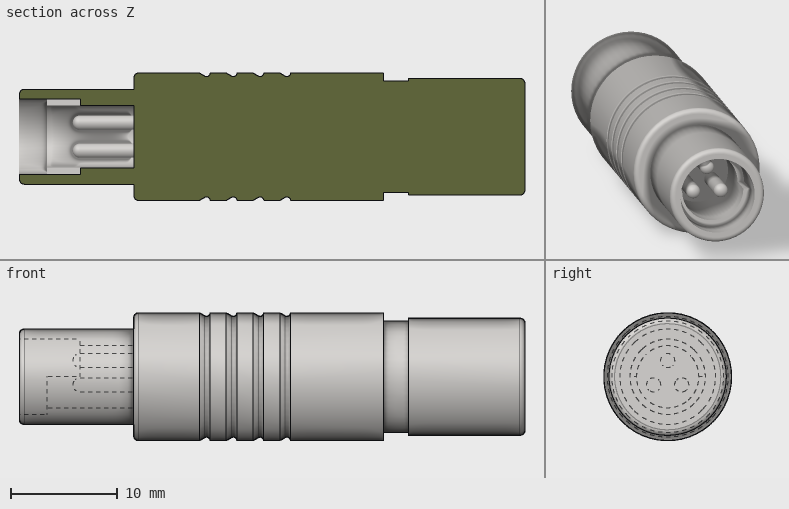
import cadquery as cq
import math

total_length = 47.5
body_diameter = 12.0
nose_diameter = 9.0
neck_diameter = 10.5
tail_diameter = 11.0
nose_length = 10.75
body_length = 23.45
neck_length = 2.35
nose_fillet = 0.48
body_fillet = 0.48
tail_fillet = 0.5

groove_count = 4
groove_pitch = 2.5
groove_width = 1.0
groove_depth = 0.35
first_groove_offset = 6.18

socket_diameter = 7.1
socket_depth = 5.7
key_start = 2.6
inner_bore_diameter = 5.85
floor_depth = nose_length

pin_count = 3
pin_diameter = 1.35
pin_circle_radius = 1.5
first_pin_angle = 90
pin_length = 5.7

body_end = nose_length + body_length
tail_start = body_end + neck_length


def cylinder(start, length, diameter):
    """Cylinder on the X axis, running toward +X from start."""
    return cq.Workplane("YZ").workplane(offset=start).circle(diameter / 2).extrude(length)


def half_cylinder(start, length, diameter):
    """Lower (-Z) half of a cylinder on the X axis."""
    lower_side = cq.Workplane("XY").box(
        total_length, diameter, diameter, centered=(False, True, False)
    ).translate((0, 0, -diameter))
    return cylinder(start, length, diameter).intersect(lower_side)


def grip_groove(start):
    """Ring whose section slopes in as a cone and runs tangent into an arc centred on the body surface."""
    body_radius = body_diameter / 2
    end = start + groove_width
    arc_centre = end - groove_depth
    cone_angle = math.asin(groove_depth / (arc_centre - start))
    tangent_point = (
        arc_centre - groove_depth * math.sin(cone_angle),
        body_radius - groove_depth * math.cos(cone_angle),
    )
    return (
        cq.Workplane("XY")
        .moveTo(start, body_radius)
        .lineTo(*tangent_point)
        .threePointArc((arc_centre, body_radius - groove_depth), (end, body_radius))
        .lineTo(end, body_diameter)
        .lineTo(start, body_diameter)
        .close()
        .revolve(360, (0, 0, 0), (1, 0, 0))
    )


def contact_pin(angle):
    """Round pin with a hemispherical tip pointing toward -X."""
    pin_radius = pin_diameter / 2
    tip_centre = floor_depth - pin_length + pin_radius
    shaft = cylinder(tip_centre, floor_depth - tip_centre, pin_diameter)
    tip = cq.Workplane("XY").sphere(pin_radius).translate((tip_centre, 0, 0))
    offset = (0, pin_circle_radius * math.cos(angle), pin_circle_radius * math.sin(angle))
    return shaft.union(tip).translate(offset)


nose = cylinder(0, nose_length, nose_diameter).faces("<X").edges().fillet(nose_fillet)
body = cylinder(nose_length, body_length, body_diameter).faces("<X").edges().fillet(body_fillet)
neck = cylinder(body_end, neck_length, neck_diameter)
tail = cylinder(tail_start, total_length - tail_start, tail_diameter).faces(">X").edges().fillet(tail_fillet)
result = nose.union(body).union(neck).union(tail)

for index in range(groove_count):
    result = result.cut(grip_groove(nose_length + first_groove_offset + index * groove_pitch))

result = result.cut(cylinder(0, socket_depth, socket_diameter))
result = result.union(half_cylinder(key_start, socket_depth - key_start, socket_diameter))
result = result.cut(cylinder(0, floor_depth, inner_bore_diameter))

for index in range(pin_count):
    result = result.union(contact_pin(math.radians(first_pin_angle + index * 360 / pin_count)))